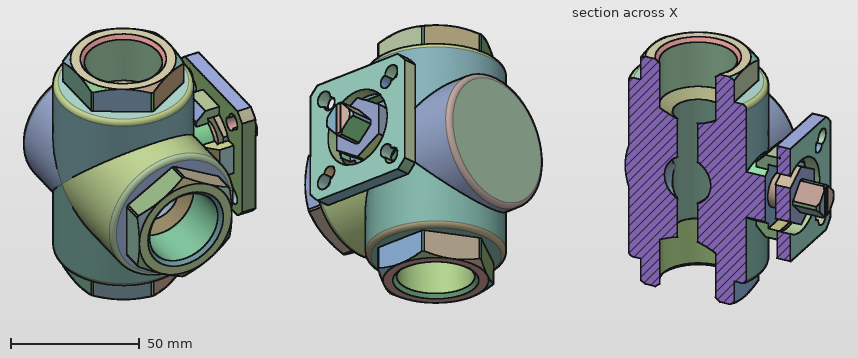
import cadquery as cq
import math


BARREL_D = 54.7
BARREL_FILLET = 2.0
CLOSED_END_X = -32.0
SIDE_SHOULDER = 40.0
RUN_SHOULDER = 39.4

PORT_REACH = 50.0
HEX_FLATS = 41.0
HEX_CORNER_D = 46.8
HEX_CHAMFER_ANGLE = 30.0
BORE_D = 30.29
BORE_MOUTH_D = 33.4
BORE_DEPTH = 21.0
PASSAGE_D = 20.0
SEAT_ANGLE = 30.0

NECK_D = 27.0
NECK_TOP = 34.0
PLATE_BOTTOM = 39.0
PLATE_TOP = 45.0
PLATE_SIDE = 49.5
PLATE_CORNER_D = 65.0
LEG_WIDTH = 13.1
LEG_OUTER = 18.0
LEG_INNER = 14.0
LEG_BOTTOM = 28.8
PLATE_OPENING_D = 31.0
MOUNT_HOLES = ((42.0, 5.5), (50.0, 6.5))

STEM_D = 14.0
STEM_SQUARE = 11.0
BODY_TO_STEM_HEIGHT = 83.5
STEM_TOP = BODY_TO_STEM_HEIGHT - BARREL_D / 2
STEM_CHAMFER = 1.0
STEM_GROOVE_WIDTH = 2.0
STEM_GROOVE_DEPTH = 0.3
NUT_FLATS = 22.0
NUT_BOTTOM = 38.35


def across_corners(flats):
    return flats / math.cos(math.pi / 6)


def along_y(bottom):
    """Plane facing +Y at the given height, with local x along X and local y along -Z."""
    return cq.Workplane("XZ", origin=(0, bottom, 0)).transformed(rotate=(180, 0, 0))


def make_barrels():
    run = cq.Workplane("XY").workplane(offset=-RUN_SHOULDER).circle(BARREL_D / 2).extrude(2 * RUN_SHOULDER)
    side = (
        cq.Workplane("YZ")
        .workplane(offset=CLOSED_END_X)
        .circle(BARREL_D / 2)
        .extrude(SIDE_SHOULDER - CLOSED_END_X)
    )
    return run.edges().fillet(BARREL_FILLET).union(side.edges().fillet(BARREL_FILLET))


def make_hex_end():
    """Hexagonal end along +Z with corners on X, turned down at the corners and chamfered."""
    corner_r = HEX_CORNER_D / 2
    flat_r = HEX_FLATS / 2
    chamfer_height = (corner_r - flat_r) * math.tan(math.radians(HEX_CHAMFER_ANGLE))
    prism = cq.Workplane("XY").polygon(6, across_corners(HEX_FLATS)).extrude(PORT_REACH)
    turned = (
        cq.Workplane("XZ")
        .moveTo(0, 0)
        .lineTo(corner_r, 0)
        .lineTo(corner_r, PORT_REACH - chamfer_height)
        .lineTo(flat_r, PORT_REACH)
        .lineTo(0, PORT_REACH)
        .close()
        .revolve()
    )
    return prism.intersect(turned)


def make_port_cavity():
    """Chamfered bore along +Z, narrowing to the ball passage that reaches the centre."""
    bore_r = BORE_D / 2
    mouth_r = BORE_MOUTH_D / 2
    passage_r = PASSAGE_D / 2
    bore_floor = PORT_REACH - BORE_DEPTH
    seat_drop = (bore_r - passage_r) * math.tan(math.radians(SEAT_ANGLE))
    return (
        cq.Workplane("XZ")
        .moveTo(0, 0)
        .lineTo(passage_r, 0)
        .lineTo(passage_r, bore_floor - seat_drop)
        .lineTo(bore_r, bore_floor)
        .lineTo(bore_r, PORT_REACH - (mouth_r - bore_r))
        .lineTo(mouth_r, PORT_REACH)
        .lineTo(0, PORT_REACH)
        .close()
        .revolve()
    )


def at_each_port(shape):
    """Copies of a +Z shape at the top, bottom and +X ports."""
    bottom = shape.rotate((0, 0, 0), (1, 0, 0), 180)
    side = shape.rotate((0, 0, 0), (0, 1, 0), 90)
    return shape.union(bottom).union(side)


def make_bracket_legs():
    """Four hooked legs that carry the plate, standing on the neck."""
    outer_slope = LEG_OUTER - LEG_INNER
    leg = (
        cq.Workplane("XY")
        .workplane(offset=-LEG_WIDTH / 2)
        .moveTo(0, LEG_BOTTOM)
        .lineTo(LEG_INNER, LEG_BOTTOM)
        .lineTo(LEG_OUTER, LEG_BOTTOM + outer_slope)
        .lineTo(LEG_OUTER, PLATE_BOTTOM)
        .lineTo(LEG_INNER, PLATE_BOTTOM)
        .lineTo(LEG_INNER, NECK_TOP)
        .lineTo(0, NECK_TOP)
        .close()
        .extrude(LEG_WIDTH)
    )
    legs = leg
    for quarter in range(1, 4):
        legs = legs.union(leg.rotate((0, 0, 0), (0, 1, 0), 90 * quarter))
    return legs


def make_plate():
    """Square plate with rounded-off corners, a central opening and paired holes at each corner."""
    thickness = PLATE_TOP - PLATE_BOTTOM
    plate = along_y(PLATE_BOTTOM).rect(PLATE_SIDE, PLATE_SIDE).extrude(thickness)
    plate = plate.intersect(along_y(PLATE_BOTTOM).circle(PLATE_CORNER_D / 2).extrude(thickness))
    for circle_d, hole_d in MOUNT_HOLES:
        holes = (
            along_y(PLATE_BOTTOM)
            .polarArray(circle_d / 2, 45, 360, 4)
            .circle(hole_d / 2)
            .extrude(thickness)
        )
        plate = plate.cut(holes)
    opening = along_y(PLATE_BOTTOM).circle(PLATE_OPENING_D / 2).extrude(thickness)
    return plate.cut(opening)


def make_stem():
    """Round stem up to the plate top, then a chamfered square, corners on X and Z, grooved along Z."""
    shank = along_y(0).circle(STEM_D / 2).extrude(PLATE_TOP)
    drive_height = STEM_TOP - PLATE_TOP
    drive = along_y(PLATE_TOP).circle(STEM_D / 2).extrude(drive_height).faces(">Y").chamfer(STEM_CHAMFER)
    square = along_y(PLATE_TOP).polygon(4, STEM_SQUARE * math.sqrt(2)).extrude(drive_height)
    groove = along_y(STEM_TOP - STEM_GROOVE_DEPTH).rect(STEM_GROOVE_WIDTH, STEM_D).extrude(STEM_GROOVE_DEPTH)
    return shank.union(drive.intersect(square).cut(groove))


def make_packing_nut():
    """Hexagon on the stem inside the plate opening, with two corners on Z."""
    return (
        along_y(NUT_BOTTOM)
        .transformed(rotate=(0, 0, 90))
        .polygon(6, across_corners(NUT_FLATS))
        .extrude(PLATE_TOP - NUT_BOTTOM)
    )


def make_neck():
    return along_y(0).circle(NECK_D / 2).extrude(NECK_TOP)


result = (
    make_barrels()
    .union(at_each_port(make_hex_end()))
    .union(make_neck())
    .union(make_bracket_legs())
    .union(make_plate())
    .union(make_packing_nut())
    .union(make_stem())
    .cut(at_each_port(make_port_cavity()))
)